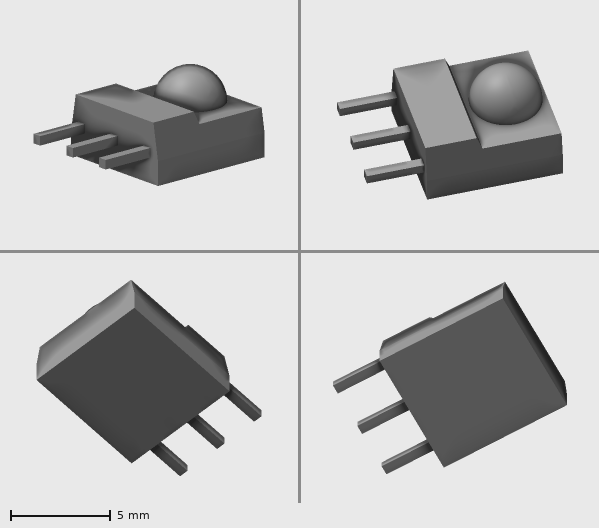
import cadquery as cq

overall_length = 10.1
body_width = 6.7
body_length = 7.1
body_height = 3.28
top_width = 6.0
taper_height = 1.31

deck_height = 2.6
deck_length = 4.14
step_run = 0.27

lens_radius = 1.87
lens_from_rear = 2.06

lead_count = 3
lead_size = 0.5
lead_length = overall_length - body_length
lead_pitch = 2.54
lead_height = 1.64


def make_body():
    """Housing with tapered sides, stepped down towards the rear."""
    cross_section = [
        (-body_width / 2, 0),
        (body_width / 2, 0),
        (body_width / 2, taper_height),
        (top_width / 2, body_height),
        (-top_width / 2, body_height),
        (-body_width / 2, taper_height),
    ]
    housing = cq.Workplane("XZ").polyline(cross_section).close().extrude(-body_length)

    deck_front = body_length - deck_length
    side_profile = [
        (0, 0),
        (body_length, 0),
        (body_length, deck_height),
        (deck_front, deck_height),
        (deck_front - step_run, body_height),
        (0, body_height),
    ]
    stepped_block = (
        cq.Workplane("YZ").polyline(side_profile).close().extrude(body_width / 2, both=True)
    )
    return housing.intersect(stepped_block)


def make_lens():
    """Hemispherical lens standing on the rear deck."""
    upper_half = cq.Workplane("XY").sphere(lens_radius, angle1=0)
    return upper_half.translate((0, body_length - lens_from_rear, deck_height))


def make_lead(x):
    """Square lead projecting forward from the front face."""
    lead = cq.Workplane("XZ").rect(lead_size, lead_size).extrude(lead_length)
    return lead.translate((x, 0, lead_height))


result = make_body().union(make_lens())
for index in range(lead_count):
    lead_x = (index - (lead_count - 1) / 2) * lead_pitch
    result = result.union(make_lead(lead_x))